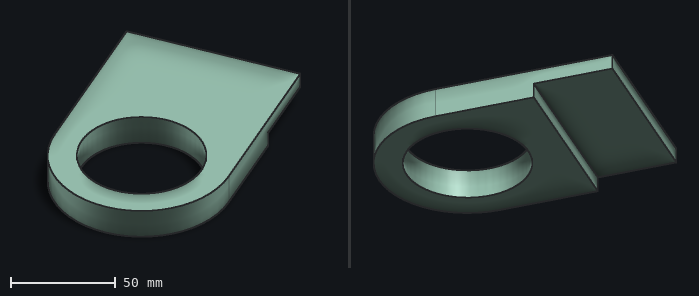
import cadquery as cq

width = 90.0
length = 135.0
thickness = 15.4
hole_diameter = 62.0
tongue_length = 40.0
tongue_thickness = thickness / 2

end_radius = width / 2
back_y = length - end_radius
step_y = back_y - tongue_length
step_height = thickness - tongue_thickness


def rounded_plate():
    """Full-thickness plate, square at the back and semicircular at the front."""
    return (
        cq.Workplane("XY")
        .moveTo(end_radius, 0)
        .lineTo(end_radius, back_y)
        .lineTo(-end_radius, back_y)
        .lineTo(-end_radius, 0)
        .threePointArc((0, -end_radius), (end_radius, 0))
        .close()
        .extrude(thickness)
    )


def tongue_relief():
    """Block removed from the underside to leave the thin tongue at the back."""
    return (
        cq.Workplane("XY")
        .center(0, step_y + tongue_length / 2)
        .rect(width, tongue_length)
        .extrude(step_height)
    )


def through_hole():
    """Round hole concentric with the semicircular end."""
    return cq.Workplane("XY").circle(hole_diameter / 2).extrude(thickness)


result = rounded_plate().cut(tongue_relief()).cut(through_hole())